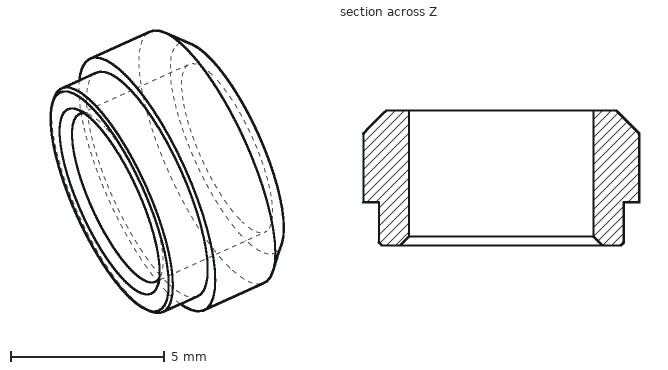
import cadquery as cq

body_diameter = 9.0
spigot_diameter = 8.0
bore_diameter = 6.0
total_length = 4.4
spigot_length = 1.4
back_chamfer = 0.75
spigot_chamfer = 0.1
bore_chamfer = 0.3

body_radius = body_diameter / 2
spigot_radius = spigot_diameter / 2
bore_radius = bore_diameter / 2

half_section = (
    cq.Workplane("XY")
    .moveTo(bore_radius + bore_chamfer, 0)
    .lineTo(spigot_radius - spigot_chamfer, 0)
    .lineTo(spigot_radius, spigot_chamfer)
    .lineTo(spigot_radius, spigot_length)
    .lineTo(body_radius, spigot_length)
    .lineTo(body_radius, total_length - back_chamfer)
    .lineTo(body_radius - back_chamfer, total_length)
    .lineTo(bore_radius, total_length)
    .lineTo(bore_radius, bore_chamfer)
    .close()
)

result = half_section.revolve(360, (0, 0, 0), (0, 1, 0))